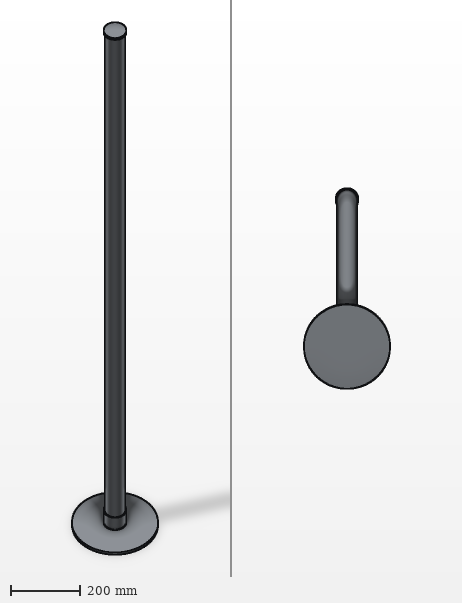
import cadquery as cq

total_height = 2000.0
plate_diameter = 250.0
plate_thickness = 10.0

post_diameter = 60.0
socket_diameter = 65.0
socket_height = 50.0
cap_diameter = socket_diameter
cap_thickness = 8.0

socket_top = plate_thickness + socket_height
cap_bottom = total_height - cap_thickness


def cylinder(diameter, bottom, top):
    """Upright cylinder on the Z axis between two heights."""
    return cq.Workplane("XY").workplane(offset=bottom).circle(diameter / 2).extrude(top - bottom)


def make_base():
    """Round floor plate with a socket that holds the foot of the post."""
    plate = cylinder(plate_diameter, 0, plate_thickness)
    socket = cylinder(socket_diameter, plate_thickness, socket_top)
    bore = cylinder(post_diameter, plate_thickness, socket_top)
    return plate.union(socket).cut(bore)


def make_post():
    """Plain round post from the plate up to the cap."""
    return cylinder(post_diameter, plate_thickness, cap_bottom)


def make_cap():
    """Flat disc that overhangs the top of the post."""
    return cylinder(cap_diameter, cap_bottom, total_height)


base = make_base()
post = make_post()
cap = make_cap()

result = cq.Compound.makeCompound([base.val(), post.val(), cap.val()])